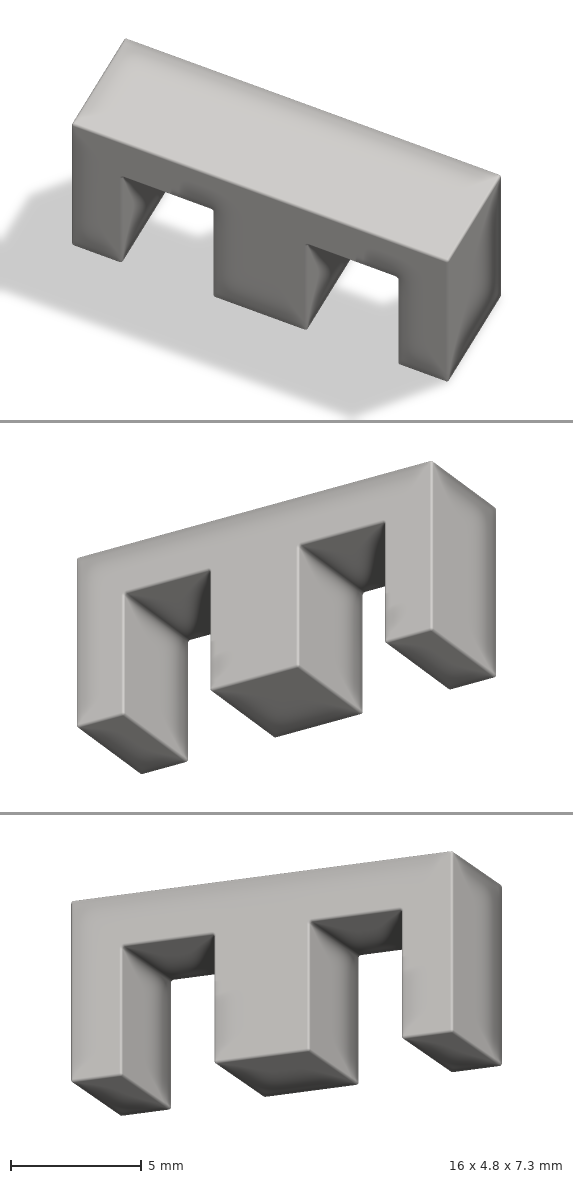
import cadquery as cq

LENGTH = 16.0
DEPTH = 4.8
HEIGHT = 7.3

CENTRE_LEG_WIDTH = 4.0
OUTER_LEG_WIDTH = 2.15
YOKE_HEIGHT = 2.1
SLOT_WIDTH = (LENGTH - CENTRE_LEG_WIDTH) / 2 - OUTER_LEG_WIDTH
SLOT_DEPTH = HEIGHT - YOKE_HEIGHT
SLOT_OFFSET = (CENTRE_LEG_WIDTH + SLOT_WIDTH) / 2

SLOT_CORNER_RADIUS = 0.1
EDGE_RADIUS = 0.1


def make_block():
    """Solid block standing on Z = 0, centred in X and Y."""
    return cq.Workplane("XY").box(LENGTH, DEPTH, HEIGHT, centered=(True, True, False))


def make_slot(centre_x):
    """Cutter for one slot, open at the bottom, with rounded upper corners."""
    return (
        cq.Workplane("XY")
        .center(centre_x, 0)
        .box(SLOT_WIDTH, DEPTH, SLOT_DEPTH, centered=(True, True, False))
        .edges("|Y and >Z")
        .fillet(SLOT_CORNER_RADIUS)
    )


core = make_block()
for side in (-1, 1):
    core = core.cut(make_slot(side * SLOT_OFFSET))

result = core.faces("<Y or >Y or <Z or >Z or <X or >X").edges().fillet(EDGE_RADIUS)